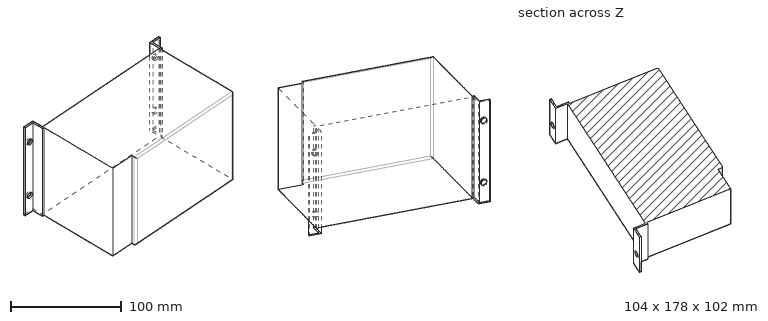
import cadquery as cq

overall_depth = 104.0
overall_width = 178.0
height = 102.0

sheet_thickness = 2.0
flange_width = 12.0
standoff = 12.0
bracket_overlap = 2.0

step_depth = 5.0
step_width = 25.0
edge_radius = 2.0

hole_diameter = 6.0
hole_spacing = 62.0

body_width = overall_width - 2 * flange_width
body_side = body_width / 2
flange_edge = overall_width / 2
bottom = -height / 2
step_x = overall_depth - step_depth
step_y = -body_side + step_width
bracket_end = standoff + bracket_overlap
hole_y = flange_edge - flange_width / 2


def make_body():
    """Box with one stepped end and a raised +X face rounded all around."""
    outline = [
        (standoff, -body_side),
        (step_x, -body_side),
        (step_x, step_y),
        (overall_depth, step_y),
        (overall_depth, body_side),
        (standoff, body_side),
    ]
    body = cq.Workplane("XY").workplane(offset=bottom).polyline(outline).close().extrude(height)
    return body.faces(">X").edges().fillet(edge_radius)


def make_bracket(side):
    """L-shaped bracket on the +Y (side = 1) or -Y (side = -1) face of the body."""
    inner_y = side * body_side
    outer_y = side * (body_side + sheet_thickness)
    edge_y = side * flange_edge
    outline = [
        (0, inner_y),
        (bracket_end, inner_y),
        (bracket_end, outer_y),
        (sheet_thickness, outer_y),
        (sheet_thickness, edge_y),
        (0, edge_y),
    ]
    return cq.Workplane("XY").workplane(offset=bottom).polyline(outline).close().extrude(height)


def make_holes():
    """Cutters for the two mounting holes through each flange."""
    centres = [
        (side * hole_y, level * hole_spacing / 2)
        for side in (-1, 1)
        for level in (-1, 1)
    ]
    return cq.Workplane("YZ").pushPoints(centres).circle(hole_diameter / 2).extrude(sheet_thickness)


result = make_body()
for side in (-1, 1):
    result = result.union(make_bracket(side))
result = result.cut(make_holes())